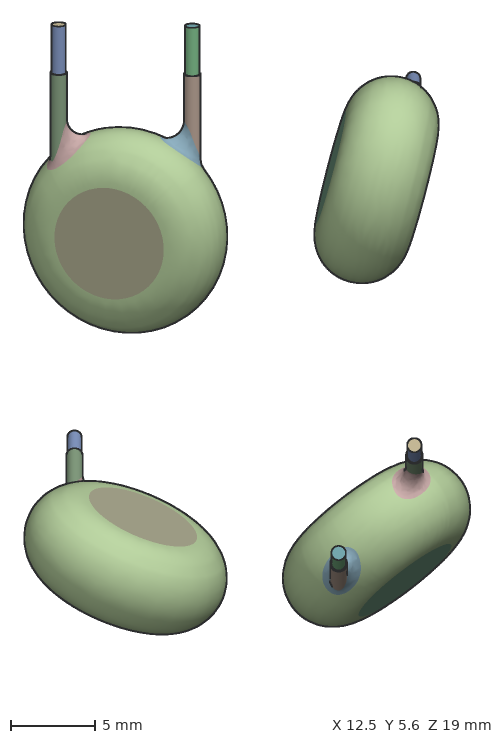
import cadquery as cq

body_diameter = 12.5
body_thickness = 5.6
rim_radius = body_thickness / 2
flat_radius = body_diameter / 2 - rim_radius

lead_spacing = 7.5
lead_offset = 1.25
lead_x = -lead_spacing / 2
lead_y = -lead_offset

wire_diameter = 0.86
coating_diameter = 1.0
bare_length = 3.0
overall_height = 19.0
lead_top = overall_height - body_diameter / 2
coating_top = lead_top - bare_length

meniscus_radius = 1.05


def make_body():
    """Revolve the body section one full turn about Y."""
    section = (
        cq.Workplane("YZ")
        .moveTo(-rim_radius, 0)
        .lineTo(-rim_radius, flat_radius)
        .threePointArc((0, flat_radius + rim_radius), (rim_radius, flat_radius))
        .lineTo(rim_radius, 0)
        .close()
    )
    return section.revolve(360, (0, 0, 0), (1, 0, 0))


def make_rod(diameter, bottom, top):
    """Upright round rod on the axis of the -X lead."""
    return (
        cq.Workplane("XY", origin=(lead_x, lead_y, bottom))
        .circle(diameter / 2)
        .extrude(top - bottom)
    )


def add_lead(part):
    """Join the -X lead to the part and blend its foot into the rim."""
    coated = part.union(make_rod(coating_diameter, 0, coating_top), clean=False)
    foot_box = cq.selectors.BoxSelector(
        (lead_x - coating_diameter, lead_y - coating_diameter, 0),
        (lead_x + coating_diameter, lead_y + coating_diameter, body_diameter / 2),
        boundingbox=True,
    )
    blended = coated.edges(foot_box).edges("%BSPLINE").fillet(meniscus_radius)
    return blended.union(make_rod(wire_diameter, coating_top, lead_top), clean=False)


one_lead = add_lead(make_body())
result = add_lead(one_lead.rotate((0, 0, 0), (0, 0, 1), 180))